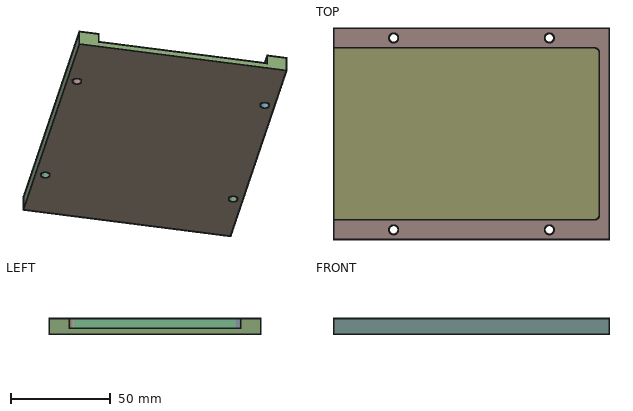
import cadquery as cq

length = 138.0
width = 106.0
thickness = 8.0

side_wall = 10.0
end_wall = 5.0
pocket_depth = 5.0
corner_radius = 2.5

hole_diameter = 4.5
hole_spacing_x = 78.0
hole_spacing_y = width - side_wall


def make_plate():
    """Plate with its lowest corner at the origin."""
    return cq.Workplane("XY").box(length, width, thickness, centered=False)


def make_pocket():
    """Pocket volume with rounded corners at the closed end."""
    pocket_length = length - end_wall
    pocket_width = width - 2 * side_wall
    return (
        cq.Workplane("XY")
        .box(pocket_length, pocket_width, pocket_depth, centered=False)
        .edges("|Z and >X")
        .fillet(corner_radius)
        .translate((0, side_wall, thickness - pocket_depth))
    )


def make_holes():
    """Four through-hole cylinders on a rectangular pattern."""
    return (
        cq.Workplane("XY")
        .center(length / 2, width / 2)
        .rarray(hole_spacing_x, hole_spacing_y, 2, 2)
        .circle(hole_diameter / 2)
        .extrude(thickness)
    )


result = make_plate().cut(make_pocket()).cut(make_holes())